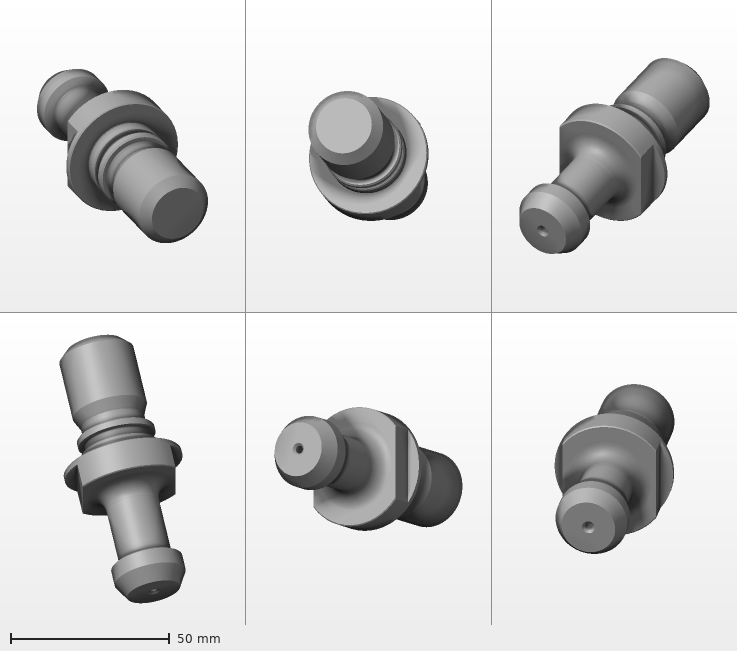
import cadquery as cq
import math

total_length = 85.0
knob_taper_end = 4.9
knob_back = 10.0
neck_start = 11.7
neck_end = 29.4
flange_front = 35.0
flange_back = 44.9
undercut_end = 45.2
collar_front = 45.7
collar_back = 49.5
ring_front = 52.6
ring_back = 55.0
shank_cone_start = 58.9
shank_cone_end = 62.7

knob_radius = 11.5
tip_radius = 8.6
neck_radius = 16.9 / 2
neck_step_radius = 8.5
flange_radius = 38.0 / 2
collar_radius = 25.0 / 2
collar_undercut_radius = 24.6 / 2
groove_radius = 20.8 / 2
shank_neck_radius = 20.5 / 2
shank_radius = 24.0 / 2
flange_fillet = 5.0

flange_chamfer = 0.3
collar_chamfer = 0.3
ring_chamfer = 0.5
end_chamfer = 3.1

knob_round = 0.3
neck_root_round = 0.4
groove_root_round = 0.4
shank_root_round = 0.5

flat_distance = 15.0
flat_back = 42.8
hole_radius = 2.5 / 2
hole_mouth_radius = 2.0
hole_mouth_depth = 0.8
hole_depth = 8.5
drill_point_angle = 118.0


def turned_body():
    """Revolve the outer profile, drawn as (x, radius), about the X axis."""
    fillet_start = flange_front - flange_fillet
    arc_middle = (
        fillet_start + flange_fillet * math.sin(math.pi / 4),
        neck_step_radius + flange_fillet * (1 - math.cos(math.pi / 4)),
    )
    profile = (
        cq.Workplane("XY")
        .moveTo(0, 0)
        .lineTo(0, tip_radius)
        .lineTo(knob_taper_end, knob_radius)
        .lineTo(knob_back, knob_radius)
        .lineTo(neck_start, neck_radius)
        .lineTo(neck_end, neck_radius)
        .lineTo(fillet_start, neck_step_radius)
        .threePointArc(arc_middle, (flange_front, neck_step_radius + flange_fillet))
        .lineTo(flange_front, flange_radius - flange_chamfer)
        .lineTo(flange_front + flange_chamfer, flange_radius)
        .lineTo(flange_back - flange_chamfer, flange_radius)
        .lineTo(flange_back, flange_radius - flange_chamfer)
        .lineTo(flange_back, collar_undercut_radius)
        .lineTo(undercut_end, collar_undercut_radius)
        .lineTo(collar_front, collar_radius)
        .lineTo(collar_back - collar_chamfer, collar_radius)
        .lineTo(collar_back, collar_radius - collar_chamfer)
        .lineTo(collar_back, groove_radius)
        .lineTo(ring_front, groove_radius)
        .lineTo(ring_front, collar_radius)
        .lineTo(ring_back - ring_chamfer, collar_radius)
        .lineTo(ring_back, collar_radius - ring_chamfer)
        .lineTo(ring_back, shank_neck_radius)
        .lineTo(shank_cone_start, shank_neck_radius)
        .lineTo(shank_cone_end, shank_radius)
        .lineTo(total_length - end_chamfer, shank_radius)
        .lineTo(total_length, shank_radius - end_chamfer)
        .lineTo(total_length, 0)
        .close()
    )
    return profile.revolve(360, (0, 0, 0), (1, 0, 0))


def round_edge(body, station, edge_radius, round_radius):
    """Round the circular edge of a given radius at a station along X."""
    tolerance = 0.001

    def is_wanted(edge):
        return (
            edge.geomType() == "CIRCLE"
            and abs(edge.Center().x - station) < tolerance
            and abs(edge.radius() - edge_radius) < tolerance
        )

    return body.newObject(body.edges().filter(is_wanted).vals()).fillet(round_radius)


def wrench_flat(side):
    """Block that cuts one flat on the flange; side is +1 or -1 along Y."""
    length = flat_back - flange_front
    depth = flange_radius - flat_distance
    return cq.Workplane("XY").box(length, depth, 2 * flange_radius).translate(
        (flange_front + length / 2, side * (flat_distance + depth / 2), 0)
    )


def centre_hole():
    """Blind drilled hole with a conical mouth and a drill point."""
    point_depth = hole_radius / math.tan(math.radians(drill_point_angle / 2))
    profile = (
        cq.Workplane("XY")
        .moveTo(0, 0)
        .lineTo(0, hole_mouth_radius)
        .lineTo(hole_mouth_depth, hole_radius)
        .lineTo(hole_depth, hole_radius)
        .lineTo(hole_depth + point_depth, 0)
        .close()
    )
    return profile.revolve(360, (0, 0, 0), (1, 0, 0))


result = turned_body()
for station, edge_radius, round_radius in (
    (knob_back, knob_radius, knob_round),
    (neck_start, neck_radius, neck_root_round),
    (collar_back, groove_radius, groove_root_round),
    (ring_front, groove_radius, groove_root_round),
    (ring_back, shank_neck_radius, shank_root_round),
):
    result = round_edge(result, station, edge_radius, round_radius)
result = result.cut(centre_hole())
for side in (-1, 1):
    result = result.cut(wrench_flat(side))